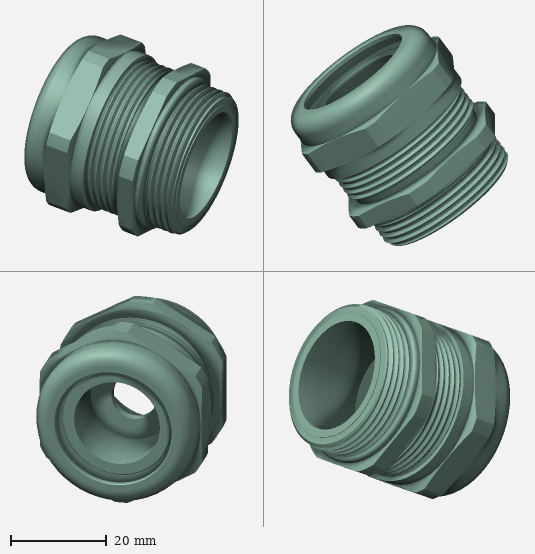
import cadquery as cq
import math


across_flats = 35.0
hex_corner_radius = across_flats / math.sqrt(3)
hex_chamfer_angle = 15
hex_chamfer_slope = math.tan(math.radians(hex_chamfer_angle))
ten_turn_advance = 15.0
thread_pitch = ten_turn_advance / 10
ridge_base_width = 1.05
ridge_crest_width = 0.1
ridge_embed = 0.1
ridge_trim_margin = 0.4

cap_diameter = 34.7
cap_length = 15.0
dome_radius = 3.22
cap_hex_start = 6.02
cap_hex_end = 12.0
cap_corner_diameter = 38.85
lip_diameter = 25.1
lip_chamfer = 0.2
lip_thickness = 1.0
cavity_diameter = 29.95
thread_clearance = 0.05

seal_diameter = 23.6
seal_start = 3.15
seal_edge_radius = 0.3
seal_bore_diameter = 18.5
seal_floor_thickness = 1.95
cable_hole_diameter = 9.5
sleeve_diameter = 26.95
flange_diameter = cavity_diameter
flange_edge_radius = 0.97

fitting_start = 7.75
sleeve_seat = 19.05
neck_start = 21.5
neck_diameter = 30.95
fitting_hex_start = 23.25
fitting_hex_end = 26.95
fitting_corner_diameter = 37.95
end_lip_start = 34.95
end_lip_diameter = sleeve_diameter
fitting_end = 35.1
cap_thread_root = 31.55
cap_thread_crest = 32.8
cap_thread_crest_x = 14.9
entry_thread_start = 28.65
entry_thread_root = 29.95
entry_thread_crest = 31.7
entry_thread_crest_x = 28.7

gasket_diameter = 33.65
gasket_end = 28.3
gasket_edge_radius = 0.75


def cylinder(start, end, diameter):
    """Cylinder on the X axis between two X positions."""
    return cq.Workplane("YZ").workplane(offset=start).circle(diameter / 2).extrude(end - start)


def revolve_about_x(outline):
    """Solid of revolution of a closed outline drawn as (X, radius)."""
    return outline.close().revolve(360, (0, 0, 0), (1, 0, 0))


def chamfered_hexagon(start, end, corner_diameter, chamfer_both_ends):
    """Hexagon with flats on +Y and -Y, turned round at the corners; the start has a conical chamfer."""
    corner_radius = corner_diameter / 2
    face_radius = across_flats / 2
    chamfer_depth = (corner_radius - face_radius) * hex_chamfer_slope
    prism = (
        cq.Workplane("YZ")
        .workplane(offset=start)
        .polygon(6, 2 * hex_corner_radius)
        .extrude(end - start)
        .rotate((0, 0, 0), (1, 0, 0), 30)
    )
    outline = (
        cq.Workplane("XY")
        .moveTo(start, 0)
        .lineTo(start, face_radius)
        .lineTo(start + chamfer_depth, corner_radius)
    )
    if chamfer_both_ends:
        outline = outline.lineTo(end - chamfer_depth, corner_radius).lineTo(end, face_radius)
    else:
        outline = outline.lineTo(end, corner_radius)
    return prism.intersect(revolve_about_x(outline.lineTo(end, 0)))


def thread_ridge(start, end, root_diameter, crest_diameter, crest_x):
    """Right-handed helical ridge that covers start to end; its crest passes -Z at crest_x."""
    turns_before = math.ceil((crest_x - start) / thread_pitch) + 1
    ridge_start = crest_x - turns_before * thread_pitch
    ridge_length = end + thread_pitch - ridge_start
    root_radius = root_diameter / 2
    crest_radius = crest_diameter / 2
    flank_slope = (ridge_base_width - ridge_crest_width) / 2 / (crest_radius - root_radius)
    half_foot = ridge_base_width / 2 + flank_slope * ridge_embed
    half_crest = ridge_crest_width / 2
    path = cq.Wire.makeHelix(thread_pitch, ridge_length, root_radius)
    ridge = (
        cq.Workplane("XZ")
        .moveTo(root_radius - ridge_embed, -half_foot)
        .lineTo(crest_radius, -half_crest)
        .lineTo(crest_radius, half_crest)
        .lineTo(root_radius - ridge_embed, half_foot)
        .close()
        .sweep(cq.Workplane(path), isFrenet=True)
    )
    return ridge.rotate((0, 0, 0), (0, 1, 0), 90).translate((ridge_start, 0, 0))


def make_cap_nut():
    """Domed cap nut with a hexagon and an inward lip at the cable entry."""
    shell = cylinder(0, cap_length, cap_diameter).faces("<X").edges().fillet(dome_radius)
    shell = shell.union(chamfered_hexagon(cap_hex_start, cap_hex_end, cap_corner_diameter, True))
    lip_radius = lip_diameter / 2
    cavity_radius = cavity_diameter / 2
    bore_radius = cap_thread_crest / 2 + thread_clearance
    bore = revolve_about_x(
        cq.Workplane("XY")
        .lineTo(0, lip_radius + lip_chamfer)
        .lineTo(lip_chamfer, lip_radius)
        .lineTo(lip_thickness, lip_radius)
        .lineTo(lip_thickness, cavity_radius)
        .lineTo(fitting_start, cavity_radius)
        .lineTo(fitting_start, bore_radius)
        .lineTo(cap_length, bore_radius)
        .lineTo(cap_length, 0)
    )
    return shell.cut(bore)


def make_seal():
    """Cup-shaped seal with a small cable hole through its floor."""
    body = cylinder(seal_start, sleeve_seat, seal_diameter).faces("<X").edges().fillet(seal_edge_radius)
    bore = cylinder(seal_start, sleeve_seat - seal_floor_thickness, seal_bore_diameter)
    return body.cut(bore).cut(cylinder(seal_start, sleeve_seat, cable_hole_diameter))


def make_clamp_sleeve():
    """Flanged sleeve around the seal, held between the cap and the fitting."""
    flange = cylinder(seal_start, fitting_start, flange_diameter)
    flange = flange.faces("<X").edges().fillet(flange_edge_radius)
    sleeve = flange.union(cylinder(fitting_start, sleeve_seat, sleeve_diameter))
    return sleeve.cut(cylinder(seal_start, sleeve_seat, seal_diameter))


def make_cap_thread():
    """Threaded stretch that the cap nut screws onto."""
    core = cylinder(fitting_start, neck_start, cap_thread_root)
    envelope = cylinder(fitting_start, neck_start, cap_thread_crest + ridge_trim_margin)
    ridge = thread_ridge(
        fitting_start, neck_start, cap_thread_root, cap_thread_crest, cap_thread_crest_x
    )
    return core.union(ridge.intersect(envelope))


def make_entry_thread():
    """Connecting thread that carries the gasket and fades out at a 45-degree lead-in."""
    core = cylinder(fitting_hex_end, end_lip_start, entry_thread_root)
    ridge = thread_ridge(
        entry_thread_start, end_lip_start, entry_thread_root, entry_thread_crest, entry_thread_crest_x
    )
    envelope_diameter = entry_thread_crest + ridge_trim_margin
    lead_in = (envelope_diameter - entry_thread_root) / 2
    envelope = cylinder(entry_thread_start, end_lip_start, envelope_diameter)
    envelope = envelope.faces(">X").edges().chamfer(lead_in)
    return core.union(ridge.intersect(envelope))


def make_fitting():
    """Fitting: both threads, neck, hexagon and end lip, bored for the sleeve and seal."""
    neck = cylinder(neck_start, fitting_hex_start, neck_diameter)
    hexagon = chamfered_hexagon(fitting_hex_start, fitting_hex_end, fitting_corner_diameter, False)
    end_lip = cylinder(end_lip_start, fitting_end, end_lip_diameter)
    fitting = make_cap_thread().union(neck).union(hexagon).union(make_entry_thread()).union(end_lip)
    sleeve_bore = cylinder(fitting_start, sleeve_seat, sleeve_diameter)
    return fitting.cut(sleeve_bore).cut(cylinder(sleeve_seat, fitting_end, seal_diameter))


def make_gasket():
    """Flat gasket against the hexagon, rounded on its outer edge."""
    ring = cylinder(fitting_hex_end, gasket_end, gasket_diameter)
    ring = ring.faces(">X").edges().fillet(gasket_edge_radius)
    return ring.cut(cylinder(fitting_hex_end, gasket_end, entry_thread_root))


cap_nut = make_cap_nut()
seal = make_seal()
clamp_sleeve = make_clamp_sleeve()
fitting = make_fitting()
gasket = make_gasket()

result = cq.Compound.makeCompound(
    [cap_nut.val(), seal.val(), clamp_sleeve.val(), fitting.val(), gasket.val()]
)